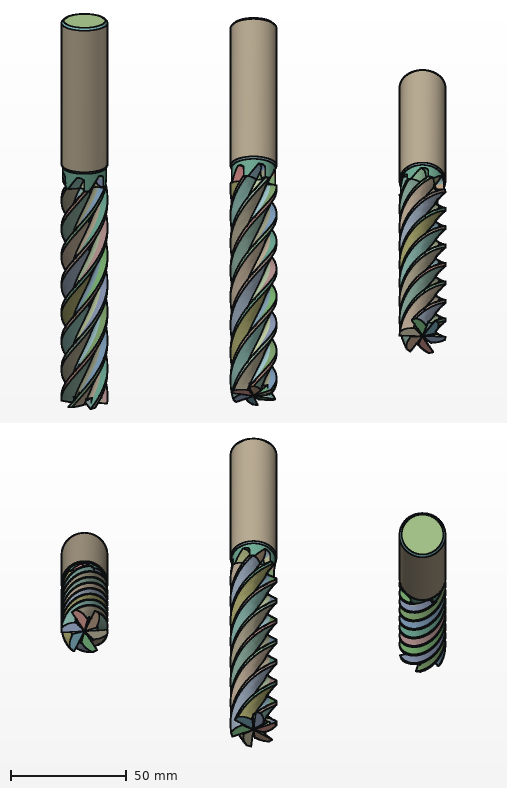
import cadquery as cq
import math

TOTAL_LENGTH = 175.0
TOOL_RADIUS = 10.0
CUTTING_LENGTH = 100.0

FLUTE_COUNT = 6
HELIX_ANGLE = 39.0
TOOTH_PITCH = 360.0 / FLUTE_COUNT

MARGIN_ANGLE = 10.0
HEEL_BULGE = 0.5
FLOOR_START = (5.67, 40.0)
FLOOR_LOW = (5.8, 48.0)
FLOOR_END = (7.17, 57.0)

NECK_RADIUS = 9.5
NECK_TOP = 108.0
SHOULDER_HEIGHT = 1.0
SHANK_CHAMFER = 1.0

RUNOUT_LENGTH = 6.0
RUNOUT_CORNER_RADIUS = 2.0
RUNOUT_SLOT_WIDTH = 10.0
FLUTE_SPACE_RADIUS = 12.0

GASH_WALL_TILT = 15.0
RELIEF_END = (48.0, 0.12)
GASH_START = (53.0, 0.58)
GASH_END = (TOOTH_PITCH + GASH_WALL_TILT, 0.58)
END_PROFILE = [(0.0, 0.0), RELIEF_END, GASH_START, GASH_END]
END_CUTTER_RADIUS = 30.0
END_CUTTER_DEPTH = 15.0
END_STOCK = 2.0

LEAD = 2 * math.pi * TOOL_RADIUS / math.tan(math.radians(HELIX_ANGLE))


def twist_angle(length):
    """Rotation of the flutes over an axial length, in degrees."""
    return 360.0 * length / LEAD


def polar(radius, angle):
    """Point in the XY plane from a radius and an angle in degrees."""
    return (radius * math.cos(math.radians(angle)), radius * math.sin(math.radians(angle)))


def heel_middle(edge_angle):
    """Middle of the convex heel between the margin and the flute floor."""
    x0, y0 = polar(TOOL_RADIUS, edge_angle + MARGIN_ANGLE)
    x1, y1 = polar(FLOOR_START[0], edge_angle + FLOOR_START[1])
    chord = math.hypot(x1 - x0, y1 - y0)
    middle_x = (x0 + x1) / 2 + HEEL_BULGE * (y1 - y0) / chord
    middle_y = (y0 + y1) / 2 - HEEL_BULGE * (x1 - x0) / chord
    return (middle_x, middle_y)


def add_flute(sketch, edge_angle):
    """Continue an outline from a margin's end, along the flute, to the next cutting edge."""
    floor_start, floor_low, floor_end = (
        polar(radius, edge_angle + angle) for radius, angle in (FLOOR_START, FLOOR_LOW, FLOOR_END)
    )
    return (
        sketch.threePointArc(heel_middle(edge_angle), floor_start)
        .threePointArc(floor_low, floor_end)
        .lineTo(*polar(TOOL_RADIUS, edge_angle + TOOTH_PITCH))
    )


def tooth_section(base_height, first_edge):
    """Closed outline of all the teeth."""
    sketch = cq.Workplane("XY", origin=(0, 0, base_height)).moveTo(*polar(TOOL_RADIUS, first_edge))
    for tooth in range(FLUTE_COUNT):
        edge = first_edge + tooth * TOOTH_PITCH
        sketch = sketch.threePointArc(
            polar(TOOL_RADIUS, edge + MARGIN_ANGLE / 2), polar(TOOL_RADIUS, edge + MARGIN_ANGLE)
        )
        sketch = add_flute(sketch, edge)
    return sketch.close()


def fluted_rod(base_height, length):
    """Twisted rod of all the teeth, with one cutting edge on the +X side at Z = 0."""
    return tooth_section(base_height, twist_angle(base_height)).twistExtrude(length, twist_angle(length))


def flat_face(*points):
    """Flat polygonal face through the points."""
    return cq.Face.makeFromWires(cq.Wire.makePolygon([cq.Vector(*p) for p in points], close=True))


def end_face_cutter():
    """Star-shaped solid below the end teeth: all of its upper faces pass through the axis at Z = 0."""
    upper_apex = (0, 0, 0)
    lower_apex = (0, 0, -END_CUTTER_DEPTH)
    rim = []
    for tooth in range(FLUTE_COUNT):
        for angle, rise in END_PROFILE:
            rim_xy = polar(END_CUTTER_RADIUS, tooth * TOOTH_PITCH + angle)
            rim.append((*rim_xy, END_CUTTER_RADIUS * rise))
    faces = []
    for point, next_point in zip(rim, rim[1:] + rim[:1]):
        faces.append(flat_face(upper_apex, point, next_point))
        faces.append(flat_face(lower_apex, point, next_point))
    return cq.Workplane(cq.Solid.makeSolid(cq.Shell.makeShell(faces)))


def make_cutting_body():
    """Fluted body with its end teeth ground to shape."""
    rod = fluted_rod(-END_STOCK, CUTTING_LENGTH + END_STOCK)
    return rod.cut(end_face_cutter())


def flute_space(first_edge):
    """Twisted solid that fills the flute after the first edge, over the run-out length."""
    start = cq.Workplane("XY", origin=(0, 0, CUTTING_LENGTH)).moveTo(
        *polar(TOOL_RADIUS, first_edge + MARGIN_ANGLE)
    )
    return (
        add_flute(start, first_edge)
        .lineTo(*polar(FLUTE_SPACE_RADIUS, first_edge + TOOTH_PITCH))
        .lineTo(*polar(FLUTE_SPACE_RADIUS, first_edge + MARGIN_ANGLE))
        .close()
        .twistExtrude(RUNOUT_LENGTH, twist_angle(RUNOUT_LENGTH))
    )


def runout_slot():
    """Solid along +X with an upright side at Y = 0 and a rounded top corner; it limits a run-out."""
    return (
        cq.Workplane("YZ")
        .moveTo(0, CUTTING_LENGTH)
        .lineTo(0, CUTTING_LENGTH + RUNOUT_LENGTH - RUNOUT_CORNER_RADIUS)
        .radiusArc((-RUNOUT_CORNER_RADIUS, CUTTING_LENGTH + RUNOUT_LENGTH), -RUNOUT_CORNER_RADIUS)
        .lineTo(-RUNOUT_SLOT_WIDTH, CUTTING_LENGTH + RUNOUT_LENGTH)
        .lineTo(-RUNOUT_SLOT_WIDTH, CUTTING_LENGTH)
        .close()
        .extrude(TOOL_RADIUS)
    )


def make_shank():
    """Shank with a neck, a conical shoulder, a chamfered end and the flute run-outs."""
    body = (
        cq.Workplane("XZ")
        .moveTo(0, CUTTING_LENGTH)
        .lineTo(NECK_RADIUS, CUTTING_LENGTH)
        .lineTo(NECK_RADIUS, NECK_TOP)
        .lineTo(TOOL_RADIUS, NECK_TOP + SHOULDER_HEIGHT)
        .lineTo(TOOL_RADIUS, TOTAL_LENGTH - SHANK_CHAMFER)
        .lineTo(TOOL_RADIUS - SHANK_CHAMFER, TOTAL_LENGTH)
        .lineTo(0, TOTAL_LENGTH)
        .close()
        .revolve(360, (0, 0, 0), (0, 1, 0))
    )
    last_edge = twist_angle(CUTTING_LENGTH)
    slot = runout_slot().rotate((0, 0, 0), (0, 0, 1), last_edge + TOOTH_PITCH)
    runout = flute_space(last_edge).intersect(slot)
    for flute in range(FLUTE_COUNT):
        body = body.cut(runout.rotate((0, 0, 0), (0, 0, 1), flute * TOOTH_PITCH))
    return body


cutting_body = make_cutting_body()
shank = make_shank()
result = cq.Compound.makeCompound([cutting_body.solids().val(), shank.solids().val()])